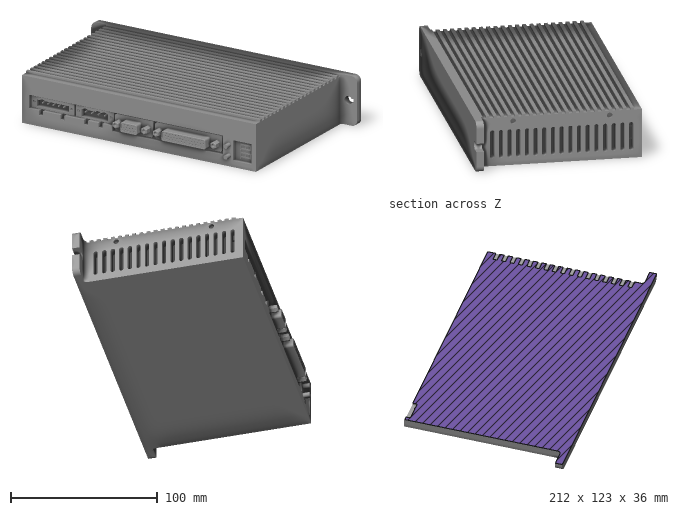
import cadquery as cq
import math

plate_length = 212.0
height = 36.0
depth = 117.0
plate_thickness = 5.3
plate_corner_radius = 4.2
housing_width = 186.5
corner_fillet = 2.1

groove_count = 21
fin_field = 105.0
front_shelf = 5.5
groove_depth = 1.5
fin_pitch = fin_field / groove_count
groove_width = fin_pitch / 2

mount_width = 6.0
mount_slot_length = 8.7
keyhole_x = 99.0
keyhole_reach = 4.2
keyhole_neck = 3.2

vent_count = 17
vent_first_y = 7.5
vent_span = 96.2
vent_width = 3.0
vent_length = 20.1
vent_center_z = 15.5
vent_depth = 6.4
side_hole_diameter = 3.8
side_hole_depth = 2.1
side_hole_z = 31.4
side_hole_ys = (22.3, 89.3)

recess_depth = 10.5
recess_top = 21.5
terminal_bay_left = -87.8
terminal_bay_bottom = 11.5
bay_split_x = -21.2
dsub_bay_right = 67.0
dsub_bay_bottom = 7.5

block_setback = 2.1
block_bottom = 12.0
block_top = 20.1
block_cavity_depth = 4.2
cavity_top = 18.2
socket_z = 16.5
socket_width = 2.0
socket_depth = 1.7
contact_size = 0.8
scallop_radius = 2.5
five_pin_block = dict(
    x0=-86.7, x1=-52.8, pins=5, pitch=4.2, cavity_width=25.7, cavity_bottom=13.4, end_offset=15.0
)
four_pin_block = dict(
    x0=-51.5, x1=bay_split_x, pins=4, pitch=5.0, cavity_width=21.0, cavity_bottom=12.7, end_offset=13.0
)

latch_xs = (-78.0, -61.0, -42.2, -30.7)
latch_bottom = 8.0
latch_width = 3.2
latch_depth = 4.2

small_dsub = dict(center_x=-4.7, flange_width=30.3, shell_width=14.0, standoff_offset=11.5, row_count=5)
large_dsub = dict(center_x=39.0, flange_width=53.2, shell_width=35.8, standoff_offset=23.0, row_count=14)
flange_setback = 1.0
flange_height = 11.5
flange_corner_radius = 1.3
dsub_z = 14.5
dsub_projection = 6.0
shell_height = 7.5
shell_taper = 0.6
shell_corner_radius = 1.5
shell_wall = 0.6
shell_rim_fillet = 0.5
insert_setback = 0.6
contact_rows = 3
contact_pitch = 2.3
contact_row_pitch = 2.0
contact_hole_diameter = 0.95
contact_hole_depth = 2.1
standoff_projection = 4.7
standoff_across_flats = 4.7
standoff_chamfer = 0.5
standoff_hole_diameter = 2.3

light_x = 71.9
light_zs = (7.8, 15.7)
light_diameter = 3.2
light_projection = 4.7
window_size = 14.8
window_x = 82.5
window_z = 12.0
window_depth = 3.2
digit_zs = (9.1, 15.0)
digit_x = 83.7
digit_length = 8.7
digit_width = 3.8
segment_width = 0.8
digit_relief = 0.6
point_x = 79.5
point_drop = 2.5


def box(x0, x1, y0, y1, z0, z1):
    """Box given by its extents along X, Y and Z."""
    return cq.Workplane("XY").box(x1 - x0, y1 - y0, z1 - z0, centered=False).translate((x0, y0, z0))


def facing_front(y):
    """Sketch plane at y whose local axes are X and Z and whose normal points to the front."""
    return cq.Workplane("XZ", origin=(0, y, 0))


def mount_plate():
    """Back plate with an open slot at the left end and a keyhole at the right end."""
    mid_z = height / 2
    plate = box(-plate_length / 2, plate_length / 2, depth - plate_thickness, depth, 0, height)
    plate = plate.edges("|Y").fillet(plate_corner_radius)
    slot = (
        facing_front(depth)
        .center(-plate_length / 2, mid_z)
        .slot2D(2 * mount_slot_length, mount_width)
        .extrude(plate_thickness)
    )
    keyhole = facing_front(depth).center(keyhole_x, mid_z).circle(mount_width / 2).extrude(plate_thickness)
    neck = box(
        keyhole_x, keyhole_x + keyhole_reach, depth - plate_thickness, depth,
        mid_z - keyhole_neck / 2, mid_z + keyhole_neck / 2,
    )
    return plate.cut(slot).cut(keyhole).cut(neck)


def housing():
    """Main box joined to the plate, with a concave fillet along both inside corners."""
    half = housing_width / 2
    face_y = depth - plate_thickness
    body = box(-half, half, 0, depth, 0, height)
    for side in (-1, 1):
        web = (
            cq.Workplane("XY")
            .moveTo(side * half, face_y)
            .lineTo(side * (half + corner_fillet), face_y)
            .radiusArc((side * half, face_y - corner_fillet), -side * corner_fillet)
            .close()
            .extrude(height)
        )
        body = body.union(web)
    return body.union(mount_plate())


def fin_grooves():
    """Grooves between the fins plus the lowered shelf along the front edge."""
    half = housing_width / 2 + corner_fillet
    floor = height - groove_depth
    grooves = box(-half, half, 0, front_shelf, floor, height)
    for i in range(1, groove_count + 1):
        back = front_shelf + i * fin_pitch
        grooves = grooves.union(box(-half, half, back - groove_width, back, floor, height))
    return grooves


def side_openings():
    """Round-ended vent slots and blind screw holes in the left wall."""
    side = cq.Workplane("YZ", origin=(-housing_width / 2, 0, 0))
    pitch = vent_span / (vent_count - 1)
    vents = (
        side.pushPoints([(vent_first_y + i * pitch, vent_center_z) for i in range(vent_count)])
        .slot2D(vent_length, vent_width, 90)
        .extrude(vent_depth)
    )
    holes = (
        side.pushPoints([(y, side_hole_z) for y in side_hole_ys])
        .circle(side_hole_diameter / 2)
        .extrude(side_hole_depth)
    )
    return vents.union(holes)


def connector_recess():
    terminal_bay = box(terminal_bay_left, bay_split_x, 0, recess_depth, terminal_bay_bottom, recess_top)
    dsub_bay = box(bay_split_x, dsub_bay_right, 0, recess_depth, dsub_bay_bottom, recess_top)
    return terminal_bay.union(dsub_bay)


def arched_sockets(spots, y):
    """Sockets with a half-round top, sunk into a face at y."""
    half = socket_width / 2
    arches = facing_front(y).pushPoints(spots).circle(half).extrude(-socket_depth)
    bases = (
        facing_front(y)
        .pushPoints([(x, z - half / 2) for x, z in spots])
        .rect(socket_width, half)
        .extrude(-socket_depth)
    )
    return arches.union(bases)


def contacts(spots, y_front, y_back):
    """Square contact pins between two depths."""
    return facing_front(y_back).pushPoints(spots).rect(contact_size, contact_size).extrude(y_back - y_front)


def terminal_block(x0, x1, pins, pitch, cavity_width, cavity_bottom, end_offset):
    """Terminal block with a scalloped plug cavity, a row of pins and a socket at each end."""
    mid = (x0 + x1) / 2
    cavity_floor = block_setback + block_cavity_depth
    pin_spots = [(mid + (i - (pins - 1) / 2) * pitch, socket_z) for i in range(pins)]
    end_spots = [(mid - end_offset, socket_z), (mid + end_offset, socket_z)]
    block = box(x0, x1, block_setback, recess_depth, block_bottom, block_top)
    cavity = box(
        mid - cavity_width / 2, mid + cavity_width / 2, block_setback, cavity_floor,
        cavity_bottom, cavity_top,
    )
    scallops = (
        facing_front(block_setback)
        .pushPoints(pin_spots)
        .circle(scallop_radius)
        .extrude(-block_cavity_depth)
    )
    block = block.cut(cavity).cut(scallops)
    block = block.cut(arched_sockets(pin_spots, cavity_floor))
    block = block.cut(arched_sockets(end_spots, block_setback))
    block = block.union(contacts(pin_spots, block_setback, cavity_floor + socket_depth))
    return block.union(contacts(end_spots, block_setback, block_setback + socket_depth))


def latch_notches():
    """Small notches in the front face below the terminal blocks."""
    notches = cq.Workplane("XY")
    for x in latch_xs:
        notches = notches.union(
            box(x - latch_width / 2, x + latch_width / 2, 0, latch_depth, latch_bottom, terminal_bay_bottom)
        )
    return notches


def shell_prism(width, inset, y_front, y_back):
    """D-shaped prism, slightly wider at the bottom, shrunk all round by the inset."""
    half_z = shell_height / 2 - inset
    half_bottom = width / 2 - inset
    half_top = half_bottom - shell_taper
    outline = [
        (-half_bottom, -half_z),
        (half_bottom, -half_z),
        (half_top, half_z),
        (-half_top, half_z),
    ]
    prism = facing_front(y_back).center(0, dsub_z).polyline(outline).close().extrude(y_back - y_front)
    return prism.edges("|Y").fillet(shell_corner_radius - inset)


def dsub(center_x, flange_width, shell_width, standoff_offset, row_count):
    """D-sub connector: flange, shell with a drilled insert, and two hexagonal standoffs."""
    flange = box(
        -flange_width / 2, flange_width / 2, flange_setback, recess_depth,
        dsub_z - flange_height / 2, dsub_z + flange_height / 2,
    )
    flange = flange.edges("|Y").fillet(flange_corner_radius)
    insert_y = insert_setback - dsub_projection
    shell = shell_prism(shell_width, 0, -dsub_projection, flange_setback)
    shell = shell.faces("<Y").edges().fillet(shell_rim_fillet)
    shell = shell.cut(shell_prism(shell_width, shell_wall, -dsub_projection, insert_y))

    hole_spots = []
    for row in range(contact_rows):
        shift = contact_pitch / 4 * (1 if row % 2 else -1)
        z = dsub_z + (row - (contact_rows - 1) / 2) * contact_row_pitch
        for i in range(row_count):
            hole_spots.append((shift + (i - (row_count - 1) / 2) * contact_pitch, z))
    contact_holes = (
        facing_front(insert_y)
        .pushPoints(hole_spots)
        .circle(contact_hole_diameter / 2)
        .extrude(-contact_hole_depth)
    )

    standoff_spots = [(-standoff_offset, dsub_z), (standoff_offset, dsub_z)]
    across_corners = standoff_across_flats / math.cos(math.pi / 6)
    standoff_length = standoff_projection + flange_setback
    standoffs = cq.Workplane("XY")
    for x, z in standoff_spots:
        hexagon = cq.Workplane("XZ").polygon(6, across_corners).extrude(standoff_length)
        hexagon = hexagon.faces("<Y").chamfer(standoff_chamfer)
        hexagon = hexagon.rotate((0, 0, 0), (0, 1, 0), 30)
        standoffs = standoffs.union(hexagon.translate((x, flange_setback, z)))
    standoff_holes = (
        facing_front(-standoff_projection)
        .pushPoints(standoff_spots)
        .circle(standoff_hole_diameter / 2)
        .extrude(-standoff_projection)
    )

    connector = flange.union(shell.cut(contact_holes)).union(standoffs.cut(standoff_holes))
    return connector.translate((center_x, 0, 0))


def status_lights():
    return (
        facing_front(0)
        .pushPoints([(light_x, z) for z in light_zs])
        .circle(light_diameter / 2)
        .extrude(light_projection)
    )


def display_window():
    return facing_front(0).center(window_x, window_z).rect(window_size, window_size).extrude(-window_depth)


def display_digits():
    """Two raised figure-eight segment groups, lying on their side, each with a point."""
    loop_length = (digit_length - 3 * segment_width) / 2
    loop_width = digit_width - 2 * segment_width
    loop_offset = (loop_length + segment_width) / 2
    digits = cq.Workplane("XY")
    for z in digit_zs:
        digit = (
            facing_front(window_depth)
            .center(digit_x, z)
            .rect(digit_length, digit_width)
            .extrude(digit_relief)
        )
        loops = (
            facing_front(window_depth)
            .center(digit_x, z)
            .pushPoints([(-loop_offset, 0), (loop_offset, 0)])
            .rect(loop_length, loop_width)
            .extrude(digit_relief)
        )
        point = (
            facing_front(window_depth)
            .center(point_x, z - point_drop)
            .rect(segment_width, segment_width)
            .extrude(digit_relief)
        )
        digits = digits.union(digit.cut(loops)).union(point)
    return digits


result = housing().cut(fin_grooves()).cut(side_openings()).cut(connector_recess())
result = result.cut(latch_notches())
for block in (five_pin_block, four_pin_block):
    result = result.union(terminal_block(**block))
for connector in (small_dsub, large_dsub):
    result = result.union(dsub(**connector))
result = result.union(status_lights())
result = result.cut(display_window()).union(display_digits())